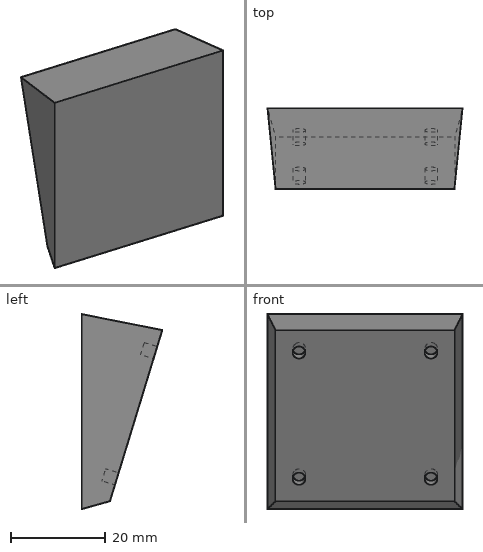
import cadquery as cq
import math

back_side = 41.4
front_side = 37.95
tilt = 17.0
top_depth = 17.15
bottom_inset = 1.7

hole_diameter = 2.7
hole_spacing = 28.0
hole_depth = 3.0

tilt_radians = math.radians(tilt)
front_center_y = -top_depth + front_side / 2 * math.sin(tilt_radians)
front_center_z = bottom_inset + front_side / 2 * math.cos(tilt_radians)

back_plane = cq.Plane(origin=(0, 0, back_side / 2), xDir=(1, 0, 0), normal=(0, -1, 0))
front_plane = cq.Plane(
    origin=(0, front_center_y, front_center_z),
    xDir=(1, 0, 0),
    normal=(0, -math.cos(tilt_radians), -math.sin(tilt_radians)),
)


def square_outline(plane, side):
    """Closed square wire centred on the plane."""
    return cq.Workplane(plane).rect(side, side).val()


def make_body():
    """Ruled solid joining the back square to the front square."""
    outlines = [square_outline(back_plane, back_side), square_outline(front_plane, front_side)]
    return cq.Workplane(cq.Solid.makeLoft(outlines, True))


def make_holes():
    """Four cylinders running into the body from the front face."""
    return (
        cq.Workplane(front_plane)
        .rect(hole_spacing, hole_spacing, forConstruction=True)
        .vertices()
        .circle(hole_diameter / 2)
        .extrude(-hole_depth)
    )


result = make_body().cut(make_holes())